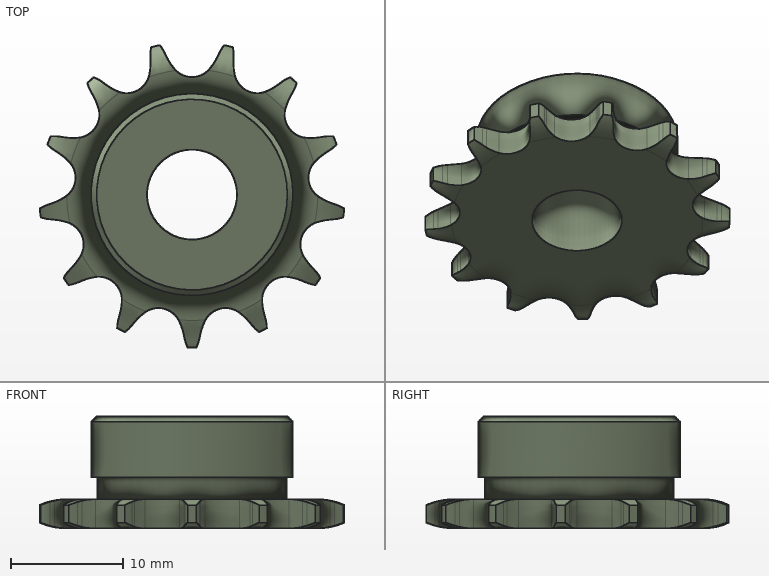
import cadquery as cq
import math

PITCH = 6.0
ROLLER_DIA = 4.0
TEETH = 13
TIP_DIA = 27.3
RING_THICKNESS = 2.6
PITCH_RADIUS = PITCH / (2 * math.sin(math.pi / TEETH))
TIP_RADIUS = TIP_DIA / 2

RELIEF_RADIUS = PITCH
RELIEF_START_RADIUS = 11.2

TOTAL_HEIGHT = 10.0
HUB_DIA = 18.0
HUB_CHAMFER = 0.5
NECK_DIA = 16.9
NECK_TOP = 4.55
BORE_DIA = 8.0

CLEARANCE_BASE = 0.0381
SEAT_RADIUS = 0.5025 * ROLLER_DIA + CLEARANCE_BASE
WORKING_OFFSET = 0.8 * ROLLER_DIA
WORKING_RADIUS = SEAT_RADIUS + WORKING_OFFSET
TOPPING_OFFSET = 1.4 * ROLLER_DIA
SEAT_ANGLE = math.radians(35 + 60 / TEETH)
WORKING_ANGLE = math.radians(18 - 56 / TEETH)
TOPPING_ANGLE = math.radians(17 - 64 / TEETH)
TOPPING_RADIUS = (
    WORKING_OFFSET * math.cos(WORKING_ANGLE)
    + TOPPING_OFFSET * math.cos(TOPPING_ANGLE)
    - WORKING_RADIUS
)
STRAIGHT_LENGTH = TOPPING_OFFSET * math.sin(TOPPING_ANGLE) - WORKING_OFFSET * math.sin(WORKING_ANGLE)


def polar(center, radius, angle):
    """Point at a given radius and angle from a center."""
    return (center[0] + radius * math.cos(angle), center[1] + radius * math.sin(angle))


def mirrored(point):
    """Point on the opposite flank of a gap centered on the Y axis."""
    return (-point[0], point[1])


def tooth_gap():
    """Space between two teeth, centered on +Y and open beyond the tooth tips."""
    roller = (0, PITCH_RADIUS)

    seat_end_angle = math.pi + SEAT_ANGLE
    seat_end = polar(roller, SEAT_RADIUS, seat_end_angle)
    working_center = polar(roller, WORKING_OFFSET, SEAT_ANGLE)
    working_end_angle = seat_end_angle - WORKING_ANGLE
    working_mid = polar(working_center, WORKING_RADIUS, seat_end_angle - WORKING_ANGLE / 2)
    working_end = polar(working_center, WORKING_RADIUS, working_end_angle)
    straight_end = polar(working_end, STRAIGHT_LENGTH, working_end_angle - math.pi / 2)

    topping_center = polar(straight_end, TOPPING_RADIUS, working_end_angle)
    topping_start_angle = working_end_angle - math.pi
    tooth_angle = math.pi / 2 + math.pi / TEETH
    center_to_plane = topping_center[0] * math.sin(tooth_angle) - topping_center[1] * math.cos(tooth_angle)
    topping_end_angle = tooth_angle + math.asin(center_to_plane / TOPPING_RADIUS)
    topping_mid_angle = (topping_start_angle + topping_end_angle) / 2
    topping_mid = polar(topping_center, TOPPING_RADIUS, topping_mid_angle)
    topping_end = polar(topping_center, TOPPING_RADIUS, topping_end_angle)

    return (
        cq.Workplane("XY")
        .moveTo(*topping_end)
        .threePointArc(topping_mid, straight_end)
        .lineTo(*working_end)
        .threePointArc(working_mid, seat_end)
        .threePointArc((0, PITCH_RADIUS - SEAT_RADIUS), mirrored(seat_end))
        .threePointArc(mirrored(working_mid), mirrored(working_end))
        .lineTo(*mirrored(straight_end))
        .threePointArc(mirrored(topping_mid), mirrored(topping_end))
        .threePointArc((0, math.hypot(*topping_end)), topping_end)
        .close()
        .extrude(RING_THICKNESS)
    )


def ring_blank():
    """Disc whose rim is relieved by tangent arcs on the top and bottom faces."""
    run = TIP_RADIUS - RELIEF_START_RADIUS

    def drop(distance):
        return RELIEF_RADIUS - math.sqrt(RELIEF_RADIUS**2 - distance**2)

    mid_radius = RELIEF_START_RADIUS + run / 2
    return (
        cq.Workplane("XZ")
        .lineTo(RELIEF_START_RADIUS, 0)
        .threePointArc((mid_radius, drop(run / 2)), (TIP_RADIUS, drop(run)))
        .lineTo(TIP_RADIUS, RING_THICKNESS - drop(run))
        .threePointArc(
            (mid_radius, RING_THICKNESS - drop(run / 2)),
            (RELIEF_START_RADIUS, RING_THICKNESS),
        )
        .lineTo(0, RING_THICKNESS)
        .close()
        .revolve(360, (0, 0, 0), (0, 1, 0))
    )


def toothed_ring():
    ring = ring_blank()
    gap = tooth_gap()
    for index in range(TEETH):
        ring = ring.cut(gap.rotate((0, 0, 0), (0, 0, 1), index * 360 / TEETH))
    return ring


def hub():
    """Neck above the ring carrying a wider, chamfered collar."""
    neck = cq.Workplane("XY").circle(NECK_DIA / 2).extrude(NECK_TOP)
    collar = (
        cq.Workplane("XY")
        .workplane(offset=NECK_TOP)
        .circle(HUB_DIA / 2)
        .extrude(TOTAL_HEIGHT - NECK_TOP)
        .faces(">Z")
        .chamfer(HUB_CHAMFER)
    )
    return neck.union(collar)


bore = cq.Workplane("XY").circle(BORE_DIA / 2).extrude(TOTAL_HEIGHT)

result = toothed_ring().union(hub()).cut(bore)